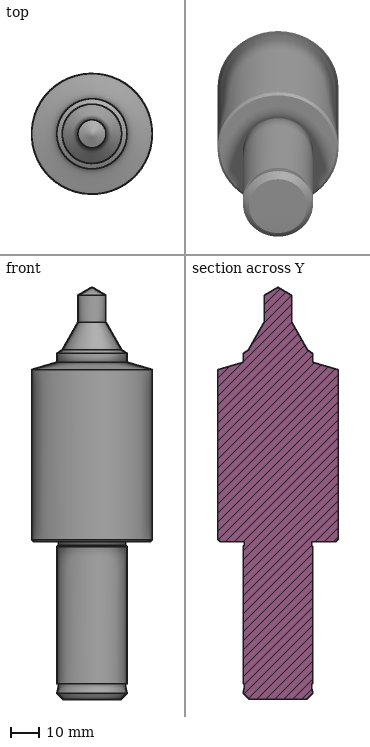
import cadquery as cq

total_length = 147.0

body_radius = 21.54
shank_radius = 12.5
shank_end_radius = 10.3
groove_radius = 12.0
relief_radius = groove_radius
neck_radius = shank_radius
cone_base_radius = 10.6
tip_radius = 5.0

end_chamfer_top = shank_radius - shank_end_radius
rim_top = 2.5
groove_floor_bottom = 4.4
groove_top = 5.6
relief_bottom = 55.0
shank_top = relief_bottom - (shank_radius - relief_radius)
body_bottom = 56.2
body_top = 117.6
neck_bottom = 120.2
neck_top = 123.3
cone_base = 124.7
tip_bottom = 134.5
point_base = 144.0

body_chamfer = 0.9

shank_profile = [
    (0, 0),
    (shank_end_radius, 0),
    (shank_radius, end_chamfer_top),
    (shank_radius, rim_top),
    (groove_radius, groove_floor_bottom),
    (groove_radius, groove_top),
    (shank_radius, groove_top),
    (shank_radius, shank_top),
    (relief_radius, relief_bottom),
    (relief_radius, body_bottom),
]
body_profile = [
    (body_radius - body_chamfer, body_bottom),
    (body_radius, body_bottom + body_chamfer),
    (body_radius, body_top),
    (neck_radius, neck_bottom),
]
point_profile = [
    (neck_radius, neck_top),
    (cone_base_radius, cone_base),
    (tip_radius, tip_bottom),
    (tip_radius, point_base),
    (0, total_length),
]

result = (
    cq.Workplane("XZ")
    .polyline(shank_profile + body_profile + point_profile)
    .close()
    .revolve(360, (0, 0), (0, 1))
)